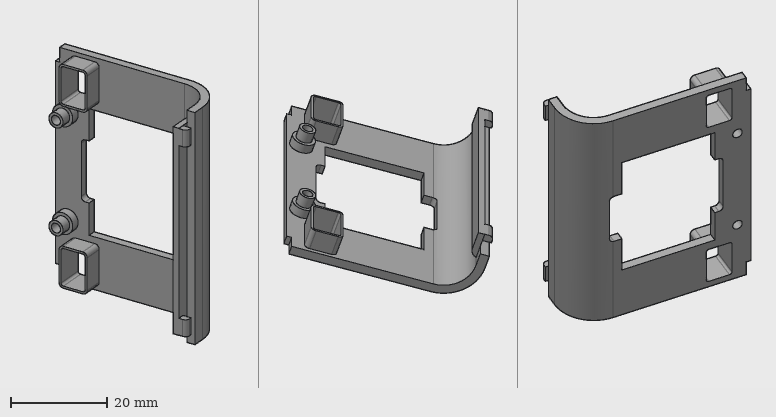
import cadquery as cq
import math

width = 41.0
depth = 15.05
height = 54.0
thickness = 2.0
bend_radius = 9.0
wall_end = 12.0
inner_face = width - thickness

notch_width = 1.1
notch_height = 3.45

window_left = 8.35
window_right = 29.85
window_height = 29.45
left_lobe_x = 6.4
left_lobe_height = 14.4
right_lobe_x = 32.7
right_lobe_height = 12.3
lobe_radius = 1.0

post_end = 6.6
socket_left = 3.9
socket_width = 6.95
socket_height = 9.8
socket_edge_gap = 0.95
socket_wall = 0.515
socket_radius = 1.1
pin_x = 3.15
pin_z = 12.55
collar_end = 4.05
collar_diameter = 5.0
pin_diameter = 3.5
bore_diameter = 2.2

lip_thickness = 1.4
lip_edge_gap = 2.9
lip_radius = 2.0
lip_flat_start = 11.0
hook_inset = 0.05
hook_height = 3.95
hook_start = 13.45
hook_radius = 1.0


def block(x_min, x_max, y_depth, z_size, z_center=0):
    """Block reaching from Y = 0 to -y_depth."""
    return (
        cq.Workplane("XZ")
        .center((x_min + x_max) / 2, z_center)
        .rect(x_max - x_min, z_size)
        .extrude(y_depth)
    )


def cylinder(diameter, y_depth, z_center):
    """Cylinder on a pin axis, from Y = 0 to -y_depth."""
    return cq.Workplane("XZ").center(pin_x, z_center).circle(diameter / 2).extrude(y_depth)


def make_shell():
    """Bent plate of constant thickness with notched corners."""
    bend_x = width - bend_radius
    inner_radius = bend_radius - thickness
    diagonal = math.sqrt(0.5)
    shell = (
        cq.Workplane("XY")
        .moveTo(0, 0)
        .lineTo(bend_x, 0)
        .threePointArc(
            (bend_x + bend_radius * diagonal, -bend_radius + bend_radius * diagonal),
            (width, -bend_radius),
        )
        .lineTo(width, -wall_end)
        .lineTo(inner_face, -wall_end)
        .lineTo(inner_face, -bend_radius)
        .threePointArc(
            (bend_x + inner_radius * diagonal, -bend_radius + inner_radius * diagonal),
            (bend_x, -thickness),
        )
        .lineTo(0, -thickness)
        .close()
        .extrude(height / 2, both=True)
    )
    for side in (-1, 1):
        notch_z = side * (height - notch_height) / 2
        shell = shell.cut(block(0, notch_width, thickness, notch_height, notch_z))
    return shell


def make_window():
    """Cutter for the window; each lobe is rounded at its outer corners."""
    middle = (window_left + window_right) / 2
    left_lobe = block(left_lobe_x, middle, bend_radius, left_lobe_height)
    right_lobe = block(middle, right_lobe_x, bend_radius, right_lobe_height)
    return (
        block(window_left, window_right, bend_radius, window_height)
        .union(left_lobe.edges("|Y and <X").fillet(lobe_radius))
        .union(right_lobe.edges("|Y and >X").fillet(lobe_radius))
    )


def add_socket(body, side):
    """Thin-walled rectangular tube, open through the plate."""
    center_z = side * (height / 2 - socket_edge_gap - socket_height / 2)
    right = socket_left + socket_width
    outer = block(socket_left, right, post_end, socket_height, center_z)
    opening = block(
        socket_left + socket_wall,
        right - socket_wall,
        post_end,
        socket_height - 2 * socket_wall,
        center_z,
    )
    body = body.union(outer.edges("|Y").fillet(socket_radius))
    return body.cut(opening.edges("|Y").fillet(socket_radius - socket_wall))


def add_pin(body, side):
    """Pin on a wider collar, bored through."""
    center_z = side * pin_z
    body = body.union(cylinder(collar_diameter, collar_end, center_z))
    body = body.union(cylinder(pin_diameter, post_end, center_z))
    return body.cut(cylinder(bore_diameter, post_end, center_z))


def make_lip():
    """Strip along the inner wall face, with an arc leading into the wall."""
    lip_face = inner_face - lip_thickness

    def arc_y(x):
        offset = lip_face + lip_radius - x
        return -lip_flat_start + math.sqrt(lip_radius**2 - offset**2)

    arc_middle = lip_face + lip_thickness / 4
    return (
        cq.Workplane("XY")
        .moveTo(lip_face, -depth)
        .lineTo(lip_face, -lip_flat_start)
        .threePointArc((arc_middle, arc_y(arc_middle)), (inner_face, arc_y(inner_face)))
        .lineTo(inner_face, -depth)
        .close()
        .extrude(height / 2 - lip_edge_gap, both=True)
    )


def make_hook(side):
    """Outward hook just inside one end of the lip, rounded at its outer corner."""
    center_z = side * (height / 2 - lip_edge_gap - hook_inset - hook_height / 2)
    hook = (
        block(inner_face, width, depth - hook_start, hook_height, center_z)
        .translate((0, -hook_start, 0))
    )
    return hook.edges("|Z and >X and <Y").fillet(hook_radius)


result = make_shell().cut(make_window()).union(make_lip())
for side in (-1, 1):
    result = add_socket(result, side)
    result = add_pin(result, side)
    result = result.union(make_hook(side))